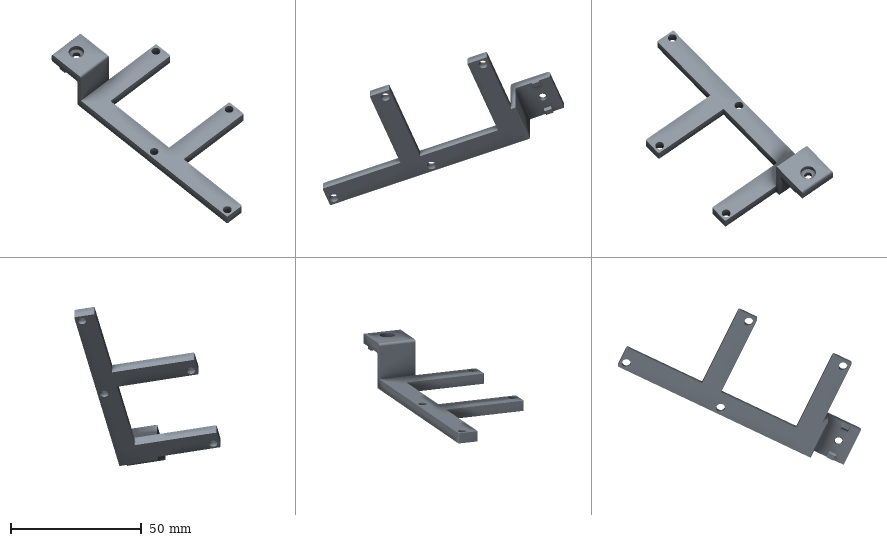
import cadquery as cq

length = 96.0
depth = 40.0
height = 18.0

plate_thickness = 4.0
bar_width = 8.0
arm_spacing = 40.0
corner_radius = 0.5
hole_inset = 2.5
frame_hole_diameter = 3.4

flange_length = 16.0
flange_depth = 15.0
flange_thickness = 4.0
web_thickness = 2.0
flange_top_radius = 1.0
bend_radius = 0.5
tip_bevel_height = 0.6
tip_bevel_inset = 0.2

screw_x = 5.9
screw_y = flange_depth / 2
screw_diameter = 3.0
head_diameter = 6.0
head_depth = 1.9

key_width = 3.0
key_height = 1.0
key_gap = 9.8
key_end_chamfer = 0.8
key_edge_chamfer = 0.2

web_left = flange_length - web_thickness
flange_bottom = height - flange_thickness
arm_lefts = [flange_length, flange_length + arm_spacing]


def box(x, y, z, size_x, size_y, size_z):
    """Box placed by its lowest corner."""
    return cq.Workplane("XY").box(size_x, size_y, size_z, centered=False).translate((x, y, z))


def make_frame():
    """Rail and arms with rounded free corners and one rounded inner corner."""
    frame = box(flange_length, 0, 0, length - flange_length, bar_width, plate_thickness)
    frame = frame.edges("|Z and >X").fillet(corner_radius)
    for left in arm_lefts:
        arm = box(left, 0, 0, bar_width, depth, plate_thickness)
        frame = frame.union(arm.edges("|Z and >Y").fillet(corner_radius))
    inner_corner = (flange_length + bar_width, bar_width, plate_thickness / 2)
    return frame.edges(cq.NearestToPointSelector(inner_corner)).fillet(corner_radius)


def make_bracket():
    """Flange and web as one bent profile, extruded along Y."""
    profile = (
        cq.Workplane("XZ")
        .moveTo(0, height)
        .lineTo(flange_length, height)
        .lineTo(flange_length, 0)
        .lineTo(web_left, 0)
        .lineTo(web_left, flange_bottom)
        .lineTo(tip_bevel_inset, flange_bottom)
        .lineTo(0, flange_bottom + tip_bevel_height)
        .close()
        .extrude(-flange_depth)
    )
    profile = profile.edges("|Y and >Z").fillet(flange_top_radius)
    for z in (0, flange_bottom):
        bend = cq.NearestToPointSelector((web_left, flange_depth / 2, z))
        profile = profile.edges(bend).fillet(bend_radius)
    return profile


def make_keys():
    """Cross rib under the flange, interrupted around the screw."""
    rib = box(screw_x - key_width / 2, 0, flange_bottom - key_height, key_width, flange_depth, key_height)
    rib = rib.edges("|Y and <Z").chamfer(key_edge_chamfer)
    gap_top = key_gap / 2
    gap_bottom = gap_top + key_end_chamfer
    gap = (
        cq.Workplane("YZ", origin=(0, screw_y, flange_bottom))
        .polyline([(-gap_top, 0), (gap_top, 0), (gap_bottom, -key_height), (-gap_bottom, -key_height)])
        .close()
        .extrude(flange_length)
    )
    return rib.cut(gap)


part = make_frame().union(make_bracket())
outer_corner = (flange_length, flange_depth, plate_thickness / 2)
part = part.edges(cq.NearestToPointSelector(outer_corner)).fillet(corner_radius)
part = part.union(make_keys())

rail_hole_x = length - hole_inset
arm_holes = [(left + hole_inset, depth - hole_inset) for left in arm_lefts]
rail_holes = [(rail_hole_x - arm_spacing, hole_inset), (rail_hole_x, hole_inset)]
frame_drills = (
    cq.Workplane("XY")
    .pushPoints(arm_holes + rail_holes)
    .circle(frame_hole_diameter / 2)
    .extrude(plate_thickness)
)
part = part.cut(frame_drills)

result = (
    part.faces(">Z")
    .workplane(origin=(screw_x, screw_y, height))
    .cboreHole(screw_diameter, head_diameter, head_depth, depth=flange_thickness + key_height)
)